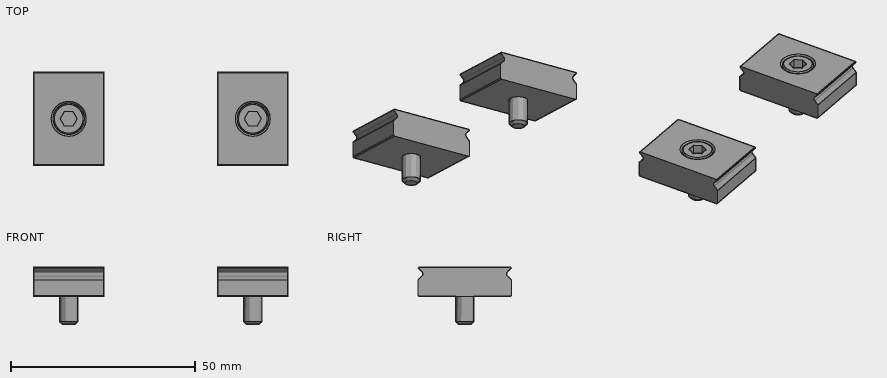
import cadquery as cq
import math

block_length_x = 19.05
block_width_y = 25.4
block_height = 7.94
block_spacing = 50.0
edge_chamfer = 0.3

groove_depth_below_top = 1.84
groove_half_height = 1.62
groove_root_radius = 0.8

shank_diameter = 5.0
shank_length = 7.62
tip_chamfer = 0.8
head_diameter = 8.5
head_chamfer = 0.35
socket_across_flats = 4.0
socket_depth = 2.5

countersink_diameter = 9.5

half_width = block_width_y / 2
groove_center_z = block_height - groove_depth_below_top
head_radius = head_diameter / 2
countersink_radius = countersink_diameter / 2
countersink_depth = countersink_radius - head_radius
socket_across_corners = socket_across_flats / math.cos(math.radians(30))


def make_block():
    """Plain block with its long edges chamfered."""
    return (
        cq.Workplane("XY")
        .box(block_length_x, block_width_y, block_height, centered=(True, True, False))
        .edges("|X")
        .chamfer(edge_chamfer)
    )


def make_side_groove():
    """V-groove cutter on the +Y side, running the full length of the block."""
    tangent_offset = groove_root_radius * math.sin(math.radians(45))
    sharp_root_y = half_width - groove_half_height
    tangent_y = sharp_root_y + tangent_offset
    arc_y = sharp_root_y + groove_root_radius * (math.sqrt(2) - 1)
    return (
        cq.Workplane("YZ", origin=(-block_length_x / 2, 0, groove_center_z))
        .moveTo(half_width, groove_half_height)
        .lineTo(tangent_y, tangent_offset)
        .threePointArc((arc_y, 0), (tangent_y, -tangent_offset))
        .lineTo(half_width, -groove_half_height)
        .close()
        .extrude(block_length_x)
    )


def make_head_ring():
    """Ring cutter between the countersink and the chamfered rim of the screw head."""
    return (
        cq.Workplane("XZ")
        .moveTo(head_radius - head_chamfer, block_height)
        .lineTo(head_radius, block_height - head_chamfer)
        .lineTo(head_radius, block_height - countersink_depth)
        .lineTo(countersink_radius, block_height)
        .close()
        .revolve(360, (0, 0, 0), (0, 1, 0))
    )


def make_shank():
    """Screw shank below the block, with a chamfered tip."""
    return (
        cq.Workplane("XY")
        .circle(shank_diameter / 2)
        .extrude(-shank_length)
        .faces("<Z")
        .chamfer(tip_chamfer)
    )


def make_socket():
    """Hexagonal socket cutter in the screw head."""
    return (
        cq.Workplane("XY", origin=(0, 0, block_height))
        .polygon(6, socket_across_corners)
        .extrude(-socket_depth)
    )


def make_jaw():
    """Block and its screw as one solid, centred on the Z axis."""
    side_groove = make_side_groove()
    return (
        make_block()
        .cut(side_groove)
        .cut(side_groove.mirror("XZ"))
        .cut(make_head_ring())
        .cut(make_socket())
        .union(make_shank())
    )


jaw = make_jaw()
jaws = []
for side in (-1, 1):
    jaw_copy = jaw.translate((side * block_spacing / 2, 0, 0))
    jaws.append(jaw_copy.solids().val())

result = cq.Compound.makeCompound(jaws)